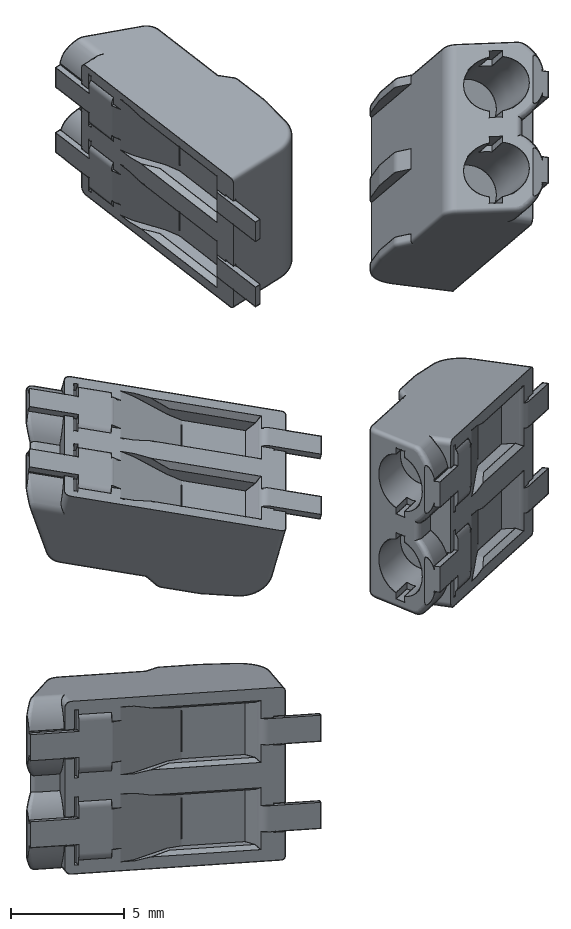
import cadquery as cq
import math


width = 7.9
half_width = width / 2
body_end = 11.53
nose_height = 0.6
shelf_height = 4.0
slant_run = 1.78
slant_rise = shelf_height - nose_height
slant_overhang = nose_height * slant_run / slant_rise
step_start = 6.1
crest_start = 6.77
crest_end = 8.66
crest_height = 4.48
back_corner_height = 4.1
shelf_corner_radius = 0.79
crest_corner_radius = 0.47
back_corner_radius = 1.49
edge_radius = 0.2
outer_rib_width = 0.47
middle_rib_width = 0.94

pole_offset = 1.99
pole_positions = (-pole_offset, pole_offset)

entry_height = 2.05
entry_mouth_radius = 1.3
entry_end_radius = 1.23
entry_depth = 3.93
key_width = 0.51
key_span = 3.09
key_depth = 1.31

nose_length = 1.59
barrel_radius = 1.95
barrel_shift = 0.31
bridge_height = 0.94
shoulder_radius = 0.52
shoulder_end_radius = 0.29

ramp_start = 4.11
ramp_end = 7.06
pocket_depth = 0.85
ramp_slope = pocket_depth / (ramp_end - ramp_start)
pocket_wide_half = 1.55
pocket_narrow_half = 1.26
pocket_bevel = 0.16
pocket_bevel_depth = 0.31
pocket_floor_end = 9.9
taper_start = 4.72
taper_end = 6.37
ramp_gap = 0.04
ramp_gap_depth = 0.07

leg_width = 1.19
leg_bottom = -0.12
leg_top = 0.16
leg_channel_width = 1.34
rear_channel_start = 11
rear_bend_end = 10.74
rear_bend_radius = 0.46
rear_bend_angle = 68
length = 13.1
foot_start = 2.19
foot_end = 3.68
neck_end = 3.8
foot_flat_width = 2.1
foot_width = 2.67
neck_width = 1.86
slot_start = 2.02
slot_width = 3.1
slot_depth = 0.39


def box(x_range, y_range, z_range):
    """Axis-aligned block between the given limits."""
    size = [limits[1] - limits[0] for limits in (x_range, y_range, z_range)]
    return cq.Workplane("XY").box(*size, centered=False).translate((x_range[0], y_range[0], z_range[0]))


def centred(middle, size):
    """Limits of a span of the given size about its middle."""
    return (middle - size / 2, middle + size / 2)


def side_profile():
    """Housing cross-section extruded over the full width, with its rounded corners."""
    body = (
        cq.Workplane("XY")
        .workplane(offset=-half_width)
        .moveTo(-slant_overhang, 0)
        .lineTo(slant_run, shelf_height)
        .lineTo(step_start, shelf_height)
        .lineTo(crest_start, crest_height)
        .lineTo(crest_end, crest_height)
        .lineTo(body_end, back_corner_height)
        .lineTo(body_end, 0)
        .close()
        .extrude(width)
    )
    rounded_corners = (
        (slant_run, shelf_height, shelf_corner_radius),
        (crest_start, crest_height, crest_corner_radius),
        (body_end, back_corner_height, back_corner_radius),
    )
    for x, y, radius in rounded_corners:
        body = body.edges(cq.selectors.NearestToPointSelector((x, y, 0))).fillet(radius)
    return body


def nose_relief():
    """Material removed below the nose, following a barrel around each wire entry."""
    outer_centre = pole_offset + barrel_shift
    wall_rise = math.sqrt(barrel_radius**2 - (half_width - outer_centre) ** 2)
    bridge_half = pole_offset - math.sqrt(barrel_radius**2 - (entry_height - bridge_height) ** 2)
    barrel_bottom = entry_height - barrel_radius
    arc_height = entry_height - barrel_radius * math.cos(math.pi / 6)
    arc_reach = barrel_radius * math.sin(math.pi / 6)
    relief = (
        cq.Workplane("YZ")
        .moveTo(0, half_width)
        .lineTo(entry_height - wall_rise, half_width)
        .threePointArc(
            (arc_height, outer_centre + arc_reach),
            (barrel_bottom, outer_centre),
        )
        .lineTo(barrel_bottom, pole_offset)
        .threePointArc(
            (arc_height, pole_offset - arc_reach),
            (bridge_height, bridge_half),
        )
        .lineTo(bridge_height, 0)
        .lineTo(0, 0)
        .close()
        .extrude(nose_length + slant_overhang)
        .translate((-slant_overhang, 0, 0))
    )
    return relief.union(relief.mirror("XY"))


def pick_edges(body, points):
    """Edges lying nearest to the given points, one edge per point."""
    picked = [body.edges(cq.selectors.NearestToPointSelector(point)).val() for point in points]
    return body.newObject(picked)


def rounded_housing():
    """Housing block with the nose relief and all its outer edges rounded."""
    body = side_profile().cut(nose_relief())
    shoulders = []
    shoulder_ends = []
    rims = [(slant_overhang, bridge_height, 0)]
    for side in (-half_width, half_width):
        shoulders.append((nose_length / 2, bridge_height, side))
        shoulder_ends.append((nose_length, bridge_height / 2, side))
        rims.append(((step_start + slant_run) / 2, shelf_height, side))
        rims.append(((step_start + crest_start) / 2, (shelf_height + crest_height) / 2, side))
        rims.append(((crest_start + crest_end) / 2, crest_height, side))
        rims.append((body_end, bridge_height, side))
        rims.append(((crest_end + body_end) / 2, crest_height, side))
    body = pick_edges(body, shoulders).fillet(shoulder_radius)
    body = pick_edges(body, shoulder_ends).fillet(shoulder_end_radius)
    body = pick_edges(body, rims).fillet(edge_radius)
    return body.cut(box((-slant_overhang, 0), (0, shelf_height), (-half_width, half_width)))


def button_channel():
    """Channel over one pole, between the outer and the middle rib, open to the back."""
    return box(
        (step_start, body_end),
        (shelf_height, crest_height),
        (middle_rib_width / 2, half_width - outer_rib_width),
    )


def wire_entry():
    """Slightly tapered round entry with a key notch on either side."""
    entry = (
        cq.Workplane("YZ")
        .center(entry_height, 0)
        .circle(entry_mouth_radius)
        .workplane(offset=entry_depth)
        .circle(entry_end_radius)
        .loft()
    )
    key_bottom = entry_height - key_width / 2
    key_lean = key_width * slant_run / slant_rise
    key_end = slant_run * (key_bottom - nose_height) / slant_rise + key_depth
    keys = (
        cq.Workplane("XY")
        .workplane(offset=-key_span / 2)
        .moveTo(0, key_bottom)
        .lineTo(key_end, key_bottom)
        .lineTo(key_end + key_lean, key_bottom + key_width)
        .lineTo(0, key_bottom + key_width)
        .close()
        .extrude(key_span)
    )
    return entry.union(keys)


def bend_point(angle):
    """Point on the bend of the rear leg, turned by the given angle from the flat leg."""
    turn = math.radians(angle)
    return (
        rear_bend_end - rear_bend_radius * math.sin(turn),
        leg_bottom + rear_bend_radius * (1 - math.cos(turn)),
    )


def contact_pocket():
    """Pocket in the mounting face: ramp, flat floor, sloped and curved end, bevelled sides."""
    lengthwise = (
        cq.Workplane("XY")
        .workplane(offset=-pocket_wide_half)
        .moveTo(ramp_start, leg_bottom)
        .lineTo(ramp_start, 0)
        .lineTo(ramp_end, pocket_depth)
        .lineTo(pocket_floor_end, pocket_depth)
        .lineTo(*bend_point(rear_bend_angle))
        .threePointArc(bend_point(rear_bend_angle / 2), bend_point(0))
        .close()
        .extrude(2 * pocket_wide_half)
    )
    plan = (
        cq.Workplane("XZ")
        .moveTo(ramp_start, -pocket_wide_half)
        .lineTo(taper_start, -pocket_wide_half)
        .lineTo(taper_end, -pocket_narrow_half)
        .lineTo(rear_bend_end, -pocket_narrow_half)
        .lineTo(rear_bend_end, pocket_narrow_half)
        .lineTo(taper_end, pocket_narrow_half)
        .lineTo(taper_start, pocket_wide_half)
        .lineTo(ramp_start, pocket_wide_half)
        .close()
        .extrude(-pocket_depth)
    )
    mouth_half = pocket_narrow_half + pocket_bevel
    bevel = (
        cq.Workplane("YZ")
        .workplane(offset=ramp_start)
        .moveTo(0, -mouth_half)
        .lineTo(pocket_bevel_depth, -pocket_narrow_half)
        .lineTo(pocket_bevel_depth, pocket_narrow_half)
        .lineTo(0, mouth_half)
        .close()
        .extrude(rear_bend_end - ramp_start)
    )
    gap = box(
        (ramp_end - ramp_gap, ramp_end),
        (0, pocket_depth + ramp_gap_depth),
        centred(0, neck_width),
    )
    return lengthwise.intersect(plan.union(bevel)).union(gap)


def contact_clearance():
    """Cross slot ahead of the foot and the shallow channels beside both legs."""
    slot = box((slot_start, foot_start), (0, slot_depth), centred(0, slot_width))
    front = box((0, slot_start), (0, leg_top), centred(0, leg_channel_width))
    rear = box((rear_channel_start, body_end), (0, leg_top), centred(0, leg_channel_width))
    return slot.union(front).union(rear)


def contact():
    """Solder legs, the foot with rounded flanks, and the neck rising to the ramp."""
    front_leg = box((0, foot_start), (leg_bottom, leg_top), centred(0, leg_width))
    rear_leg = (
        cq.Workplane("XY")
        .workplane(offset=-leg_width / 2)
        .moveTo(*bend_point(rear_bend_angle))
        .lineTo(rear_channel_start, leg_top)
        .lineTo(length, leg_top)
        .lineTo(length, leg_bottom)
        .lineTo(*bend_point(0))
        .threePointArc(bend_point(rear_bend_angle / 2), bend_point(rear_bend_angle))
        .close()
        .extrude(leg_width)
    )
    foot = (
        cq.Workplane("YZ")
        .workplane(offset=foot_start)
        .moveTo(leg_bottom, 0)
        .lineTo(leg_bottom, foot_flat_width / 2)
        .tangentArcPoint((0, foot_width / 2), relative=False)
        .lineTo(leg_top, foot_width / 2)
        .lineTo(leg_top, 0)
        .close()
        .extrude(foot_end - foot_start)
    )
    foot = foot.union(foot.mirror("XY"))
    neck = (
        cq.Workplane("XY")
        .workplane(offset=-neck_width / 2)
        .moveTo(foot_start, leg_top)
        .lineTo(foot_start, leg_bottom)
        .lineTo(foot_end, leg_bottom)
        .tangentArcPoint((neck_end, ramp_slope * (neck_end - ramp_start)), relative=False)
        .lineTo(ramp_start, 0)
        .lineTo(ramp_start, leg_top)
        .close()
        .extrude(neck_width)
    )
    return front_leg.union(rear_leg).union(foot).union(neck)


result = rounded_housing()
channel = button_channel()
result = result.cut(channel).cut(channel.mirror("XY"))
for pole in pole_positions:
    for void in (wire_entry(), contact_pocket(), contact_clearance()):
        result = result.cut(void.translate((0, 0, pole)))
    result = result.union(contact().translate((0, 0, pole)))
result = cq.Workplane(result.solids().val())